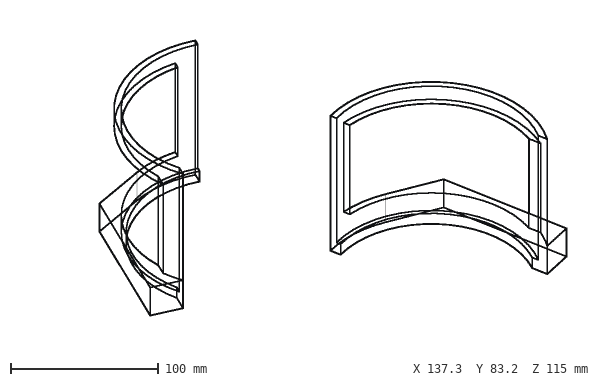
import cadquery as cq
import math

outer_radius = 80.3
wall_inner_radius = 75.4
ledge_inner_radius = 72.1
total_height = 115.0
total_width = 137.3
left_end_y = 2.9
right_end_y = -56.6
right_end_x = total_width - outer_radius

frame_border = 15.0
ledge_height = 9.0
sill_height = ledge_height + frame_border
window_height = total_height - sill_height - frame_border
right_post_depth = 10.0

base_front_left_x = -43.1
base_front_y = -outer_radius


def box_between(x_min, x_max, y_min, y_max, z_min, height):
    """Box given by its plan limits, bottom level and height."""
    return (
        cq.Workplane("XY", origin=(x_min, y_min, z_min))
        .rect(x_max - x_min, y_max - y_min, centered=False)
        .extrude(height)
    )


def curved_band(inner_radius, height):
    """Ring cut to the two straight wall ends."""
    ring = cq.Workplane("XY").circle(outer_radius).circle(inner_radius).extrude(height)
    left_part = box_between(-outer_radius, 0, base_front_y, left_end_y, 0, height)
    right_part = box_between(0, right_end_x, base_front_y, right_end_y, 0, height)
    return ring.intersect(left_part.union(right_part))


def window_cutter():
    """Opening bounded by the rear faces of the two unequal posts."""
    left_part = box_between(
        -total_width, 0, base_front_y, left_end_y - frame_border, sill_height, window_height
    )
    right_part = box_between(
        0, total_width, base_front_y, right_end_y - right_post_depth, sill_height, window_height
    )
    return left_part.union(right_part)


def base_block():
    """Solid fill between the outer curve and the straight base faces."""
    tangent_angle = 2 * math.atan2(-base_front_left_x, outer_radius)
    tangent_x = -outer_radius * math.sin(tangent_angle)
    tangent_y = -outer_radius * math.cos(tangent_angle)
    outline = [
        (0, 0),
        (tangent_x, tangent_y),
        (base_front_left_x, base_front_y),
        (right_end_x, base_front_y),
        (right_end_x, right_end_y),
        (0, right_end_y),
    ]
    block = cq.Workplane("XY").polyline(outline).close().extrude(sill_height)
    hollow = cq.Workplane("XY").circle(wall_inner_radius).extrude(sill_height)
    return block.cut(hollow)


wall = curved_band(wall_inner_radius, total_height).cut(window_cutter())
ledge = curved_band(ledge_inner_radius, ledge_height)
result = wall.union(base_block()).union(ledge)